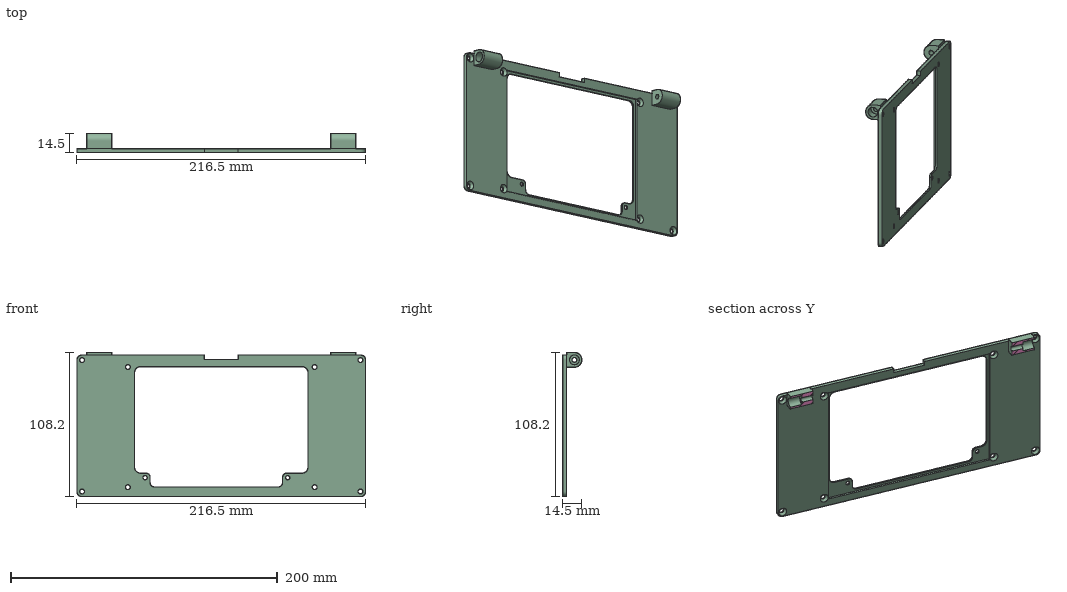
import cadquery as cq
import math

plate_width = 216.5
plate_height = 106.3
plate_thickness = 3.0
corner_radius = 3.7

window_width = 130.0
window_bottom = 17.8
window_top = 97.5
window_radius = 4.3
extension_center = -3.7
extension_width = 99.2
extension_bottom = 7.4
extension_radius = 3.2

notch_width = 25.3
notch_depth = 3.2

web_thickness = 1.3
recess_margin = 1.7

screw_hole_diameter = 3.5
screw_hole_land = 0.9
countersink_diameter = 6.5
corner_hole_inset = 4.0
frame_hole_spacing = 140.0
frame_hole_bottom = 7.1
frame_hole_top = 97.2

tab_hole_diameter = 3.0
tab_hole_spacing = 107.0
tab_hole_height = 14.3

total_depth = 14.5
total_height = 108.2
knuckle_length = 18.8
knuckle_end_inset = 7.4
knuckle_radius = 5.6
pin_hole_diameter = 3.5
counterbore_diameter = 7.4
counterbore_depth = 9.5

selection_slack = 0.2

knuckle_axis_y = total_depth - knuckle_radius
knuckle_axis_z = total_height - knuckle_radius


def block(x_min, x_max, z_min, z_max):
    """Box through the plate thickness, given by its X and Z limits."""
    blank = cq.Workplane("XY").box(x_max - x_min, plate_thickness, z_max - z_min, centered=False)
    return blank.translate((x_min, 0, z_min))


def make_window():
    """Window and its extension as one cutter, with the corners of both rounded."""
    left = extension_center - extension_width / 2
    right = extension_center + extension_width / 2
    main = block(-window_width / 2, window_width / 2, window_bottom, window_top)
    main = main.edges("|Y").fillet(window_radius)
    extension = block(left, right, extension_bottom, (window_bottom + window_top) / 2)
    extension_corners = cq.selectors.BoxSelector(
        (left - selection_slack, -selection_slack, extension_bottom - selection_slack),
        (right + selection_slack, plate_thickness + selection_slack, window_bottom + selection_slack),
    )
    return main.union(extension).edges("|Y").edges(extension_corners).fillet(extension_radius)


def make_holes(points, diameter):
    """Round cutters through the plate at the given (x, z) points."""
    return cq.Workplane("XZ").pushPoints(points).circle(diameter / 2).extrude(-plate_thickness)


def make_countersinks(points):
    """Cones that widen from the front land to the back face at the given (x, z) points."""
    depth = plate_thickness - screw_hole_land
    flare = math.degrees(math.atan((countersink_diameter - screw_hole_diameter) / 2 / depth))
    return (
        cq.Workplane("XZ", origin=(0, screw_hole_land, 0))
        .pushPoints(points)
        .circle(screw_hole_diameter / 2)
        .extrude(-depth, taper=-flare)
    )


def make_recess():
    """Rectangular recess in the back face that leaves a thin web around the window."""
    half_width = window_width / 2 + recess_margin
    recess = block(-half_width, half_width, extension_bottom - recess_margin, window_top + recess_margin)
    return recess.translate((0, web_thickness, 0))


def make_plate():
    """Rounded plate with the recess, the window, the notch and all its holes."""
    plate = block(-plate_width / 2, plate_width / 2, 0, plate_height).edges("|Y").fillet(corner_radius)
    plate = plate.cut(make_recess())
    plate = plate.cut(make_window())
    plate = plate.cut(block(-notch_width / 2, notch_width / 2, plate_height - notch_depth, plate_height))

    corner_x = plate_width / 2 - corner_hole_inset
    corner_heights = (corner_hole_inset, plate_height - corner_hole_inset)
    corner_points = [(x, z) for x in (-corner_x, corner_x) for z in corner_heights]
    frame_x = frame_hole_spacing / 2
    frame_points = [(x, z) for x in (-frame_x, frame_x) for z in (frame_hole_bottom, frame_hole_top)]
    tab_points = [(extension_center + side * tab_hole_spacing / 2, tab_hole_height) for side in (-1, 1)]

    screw_points = corner_points + frame_points
    plate = plate.cut(make_holes(screw_points, screw_hole_diameter))
    plate = plate.cut(make_countersinks(screw_points))
    return plate.cut(make_holes(tab_points, tab_hole_diameter))


def make_knuckle():
    """D-shaped knuckle at the -X end, bored for a pin and counterbored from its outer end."""
    section = cq.Workplane("YZ", origin=(-plate_width / 2 + knuckle_end_inset, 0, 0))
    body = (
        section.moveTo(plate_thickness, knuckle_axis_z - knuckle_radius)
        .lineTo(knuckle_axis_y, knuckle_axis_z - knuckle_radius)
        .threePointArc((total_depth, knuckle_axis_z), (knuckle_axis_y, total_height))
        .lineTo(plate_thickness, total_height)
        .close()
        .extrude(knuckle_length)
    )
    axis = section.center(knuckle_axis_y, knuckle_axis_z)
    pin_hole = axis.circle(pin_hole_diameter / 2).extrude(knuckle_length)
    counterbore = axis.circle(counterbore_diameter / 2).extrude(counterbore_depth)
    return body.cut(pin_hole).cut(counterbore)


knuckle = make_knuckle()
result = make_plate().union(knuckle).union(knuckle.mirror("YZ"))